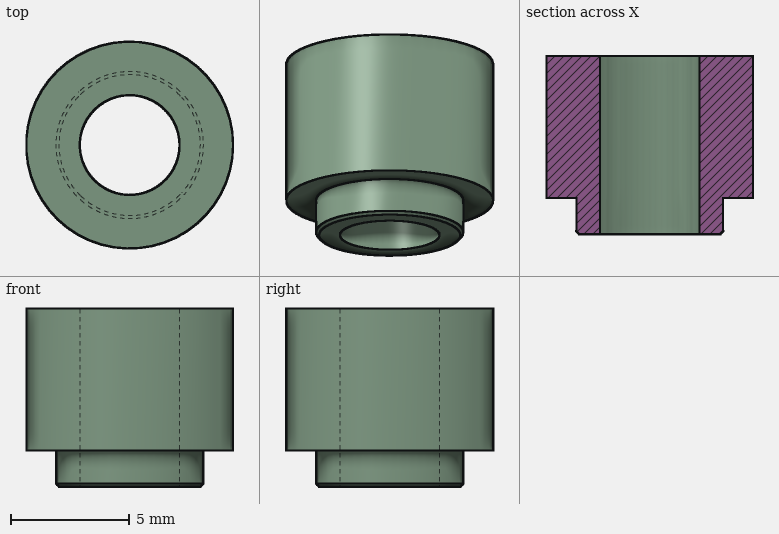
import cadquery as cq

body_diameter = 8.74
body_height = 6.0
spigot_diameter = 6.22
spigot_height = 1.53
spigot_chamfer = 0.13
bore_diameter = 4.2


def make_body():
    """Cylindrical spacer body standing on the shoulder plane Z = 0."""
    return cq.Workplane("XY").circle(body_diameter / 2).extrude(body_height)


def make_spigot():
    """Locating spigot below the shoulder, chamfered at its free end."""
    spigot = cq.Workplane("XY").circle(spigot_diameter / 2).extrude(-spigot_height)
    return spigot.faces("<Z").edges().chamfer(spigot_chamfer)


def make_bore():
    """Through bore along the common axis of body and spigot."""
    total_height = body_height + spigot_height
    bore = cq.Workplane("XY").workplane(offset=-spigot_height)
    return bore.circle(bore_diameter / 2).extrude(total_height)


result = make_body().union(make_spigot()).cut(make_bore())